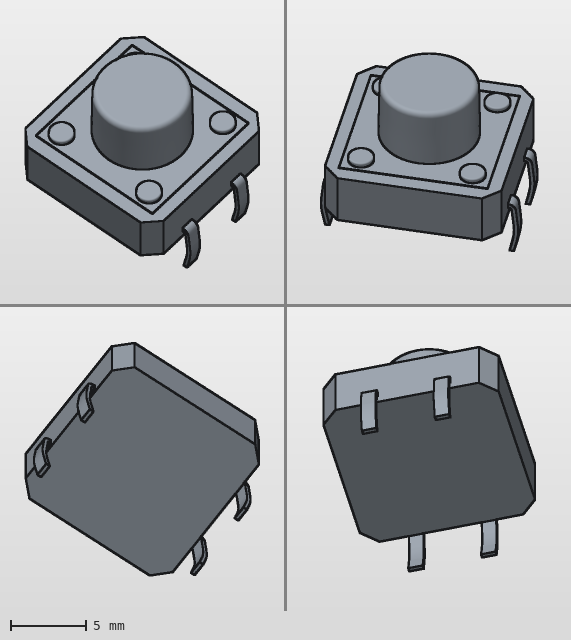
import cadquery as cq
import math


body_width = 12.01
body_height = 3.6
corner_chamfer = 1.09
cover_length = 10.12
cover_width = 9.9
cover_thickness = 0.05

button_top = 7.85
button_base_radius = 3.38
button_rim_radius = 3.31
button_face_radius = 2.94
button_rounding = 0.38

stud_diameter = 1.73
stud_offset = 3.8
stud_height = 0.36
stud_rounding = 0.11

terminal_span = 13.42
terminal_width = 0.99
terminal_offset_y = 2.5
strip_thickness = 0.3
terminal_tip_z = -3.07
terminal_top_z = 0.89
shoulder_radius = 0.52
bulge_radius = 4.2
bulge_z = -1.26
upper_tilt = math.radians(6)
lower_tilt = math.radians(12)
embedded_depth = 0.27

body_side = body_width / 2


def make_body():
    body = cq.Workplane("XY").box(body_width, body_width, body_height, centered=(True, True, False))
    body = body.edges("|Z").chamfer(corner_chamfer)
    cover = (
        cq.Workplane("XY", origin=(0, 0, body_height))
        .rect(cover_length, cover_width)
        .extrude(cover_thickness)
    )
    return body.union(cover)


def make_button():
    """Slightly tapered button with a rounded rim, revolved about Z."""
    rim_z = button_top - button_rounding
    diagonal = math.sqrt(0.5)
    rounding_mid = (
        button_face_radius + (button_rim_radius - button_face_radius) * diagonal,
        rim_z + button_rounding * diagonal,
    )
    return (
        cq.Workplane("XZ")
        .moveTo(0, body_height)
        .lineTo(button_base_radius, body_height)
        .lineTo(button_rim_radius, rim_z)
        .threePointArc(rounding_mid, (button_face_radius, button_top))
        .lineTo(0, button_top)
        .close()
        .revolve(360, (0, 0), (0, 1))
    )


def make_studs():
    return (
        cq.Workplane("XY", origin=(0, 0, body_height))
        .rect(2 * stud_offset, 2 * stud_offset, forConstruction=True)
        .vertices()
        .circle(stud_diameter / 2)
        .extrude(stud_height)
        .faces(">Z")
        .edges()
        .fillet(stud_rounding)
    )


def arc_point(center, radius, angle):
    return (center[0] + radius * math.cos(angle), center[1] + radius * math.sin(angle))


def make_terminal(y_center):
    """Terminal on the +X side: a strip of constant thickness bent twice."""
    bulge_center = (terminal_span / 2 - bulge_radius, bulge_z)
    bulge_end = arc_point(bulge_center, bulge_radius, upper_tilt)
    shoulder_z = terminal_top_z - shoulder_radius
    shoulder_start_z = shoulder_z + shoulder_radius * math.sin(upper_tilt)
    shoulder_start_x = bulge_end[0] - (shoulder_start_z - bulge_end[1]) * math.tan(upper_tilt)
    shoulder_center = (shoulder_start_x - shoulder_radius * math.cos(upper_tilt), shoulder_z)
    shoulder_mid_angle = (upper_tilt + math.pi / 2) / 2

    def strip_side(inset):
        """Points along one side of the strip, from the tip up to the shoulder top."""
        bulge = bulge_radius - inset
        shoulder = shoulder_radius - inset
        bulge_start = arc_point(bulge_center, bulge, -lower_tilt)
        tip_x = bulge_start[0] - (bulge_start[1] - terminal_tip_z) * math.tan(lower_tilt)
        return [
            (tip_x, terminal_tip_z),
            bulge_start,
            arc_point(bulge_center, bulge, 0),
            arc_point(bulge_center, bulge, upper_tilt),
            arc_point(shoulder_center, shoulder, upper_tilt),
            arc_point(shoulder_center, shoulder, shoulder_mid_angle),
            arc_point(shoulder_center, shoulder, math.pi / 2),
        ]

    outer = strip_side(0)
    inner = strip_side(strip_thickness)
    root_x = body_side - embedded_depth
    return (
        cq.Workplane("XZ", origin=(0, y_center + terminal_width / 2, 0))
        .moveTo(*outer[0])
        .lineTo(*outer[1])
        .threePointArc(outer[2], outer[3])
        .lineTo(*outer[4])
        .threePointArc(outer[5], outer[6])
        .lineTo(root_x, outer[6][1])
        .lineTo(root_x, inner[6][1])
        .lineTo(*inner[6])
        .threePointArc(inner[5], inner[4])
        .lineTo(*inner[3])
        .threePointArc(inner[2], inner[1])
        .lineTo(*inner[0])
        .close()
        .extrude(terminal_width)
    )


result = make_body().union(make_button()).union(make_studs())
for y_center in (-terminal_offset_y, terminal_offset_y):
    terminal = make_terminal(y_center)
    result = result.union(terminal).union(terminal.mirror("YZ"))